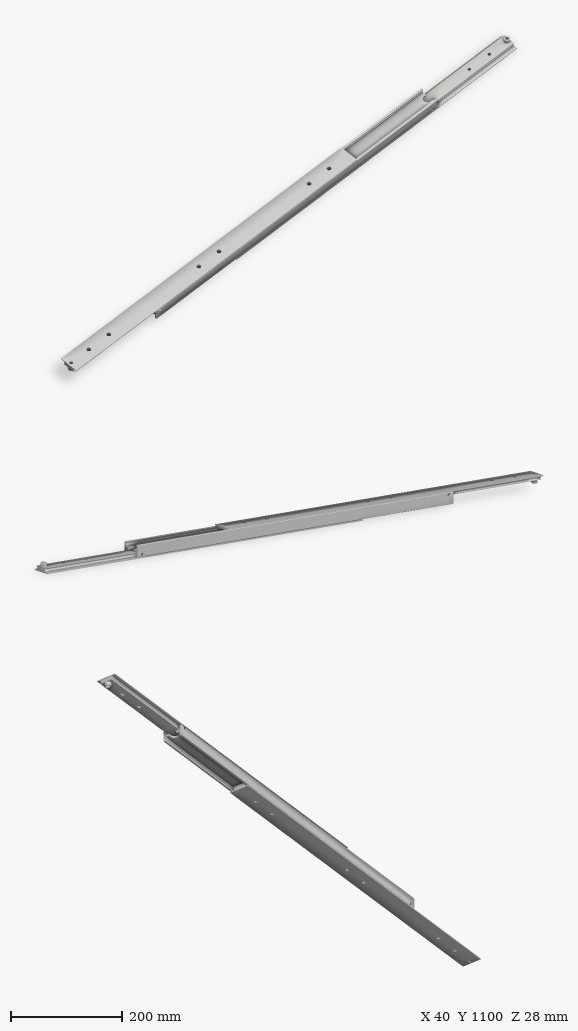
import cadquery as cq


slide_width = 40.0
slide_height = 28.0
member_length = 700.0
open_length = 1100.0
rail_shift = (open_length - member_length) / 2

flange_thickness = 2.0
block_width = 25.0
block_face_z = 4.0

middle_height = 22.0
web_thickness = 4.0
channel_width = 31.0
wall_chamfer = 0.6

ball_radius = 2.75
ball_x = (block_width + channel_width) / 4
ball_z = 7.5

upper_hole_diameter = 8.6
lower_hole_diameter = 6.65
hole_pair_pitch = 50.0
hole_pair_spacing = 275.0

stop_diameter = 12.0
stop_inset = 6.0
stop_reach = 3.5
stop_chamfer = 1.0
stop_hole_diameter = lower_hole_diameter

relief_radius = 8.0
relief_center_inset = 5.0
pin_diameter = 6.0
pin_inset = 10.0


def bar(width, length, z_bottom, z_top):
    """Rectangular bar centred on X and Y, between two heights."""
    return cq.Workplane("XY").workplane(offset=z_bottom).rect(width, length).extrude(z_top - z_bottom)


def rod(x, y, diameter, z_bottom, z_top):
    """Upright cylinder."""
    return (
        cq.Workplane("XY").workplane(offset=z_bottom)
        .center(x, y).circle(diameter / 2).extrude(z_top - z_bottom)
    )


def ball_tracks(z):
    """Pair of round bars along Y where the balls run at height z."""
    return (
        cq.Workplane("XZ").pushPoints([(-ball_x, z), (ball_x, z)])
        .circle(ball_radius).extrude(member_length / 2, both=True)
    )


def half_turn(body):
    """Turn a body half way round about the X axis."""
    return body.rotate((0, 0, 0), (1, 0, 0), 180)


def make_rail(hole_diameter):
    """Upper rail in its open place, with its stop at the -Y end."""
    top = slide_height / 2
    rail = bar(slide_width, member_length, top - flange_thickness, top)
    rail = rail.union(bar(block_width, member_length, block_face_z, top))
    rail = rail.cut(ball_tracks(ball_z))

    for pair in (-1, 0, 1):
        for side in (-1, 1):
            y = pair * hole_pair_spacing + side * hole_pair_pitch / 2
            rail = rail.cut(rod(0, y, hole_diameter, block_face_z, top))

    stop_y = stop_inset - member_length / 2
    stop = rod(0, stop_y, stop_diameter, -stop_reach, block_face_z)
    stop = stop.faces("<Z").chamfer(stop_chamfer)
    rail = rail.union(stop)
    rail = rail.cut(rod(0, stop_y, stop_hole_diameter, -stop_reach, top))
    return rail.translate((0, -rail_shift, 0))


def make_middle():
    """H-shaped intermediate member."""
    half_height = middle_height / 2
    half_web = web_thickness / 2
    middle = bar(slide_width, member_length, -half_height, half_height)
    middle = middle.edges("|Y").chamfer(wall_chamfer)
    for side in (-1, 1):
        z_ends = sorted((side * half_web, side * half_height))
        middle = middle.cut(bar(channel_width, member_length, *z_ends))
        middle = middle.cut(ball_tracks(side * ball_z))

        end_y = side * member_length / 2
        relief_y = end_y - side * relief_center_inset
        relief = rod(0, relief_y, 2 * relief_radius, -half_web, half_web)
        mouth = bar(2 * relief_radius, 2 * relief_center_inset, -half_web, half_web)
        middle = middle.cut(relief).cut(mouth.translate((0, end_y, 0)))

        pin_hole = (
            cq.Workplane("YZ").center(end_y - side * pin_inset, -side * ball_z)
            .circle(pin_diameter / 2).extrude(slide_width / 2, both=True)
        )
        middle = middle.cut(pin_hole)
    return middle


upper_rail = make_rail(upper_hole_diameter)
lower_rail = half_turn(make_rail(lower_hole_diameter))
middle = make_middle()

result = cq.Compound.makeCompound([upper_rail.val(), middle.val(), lower_rail.val()])